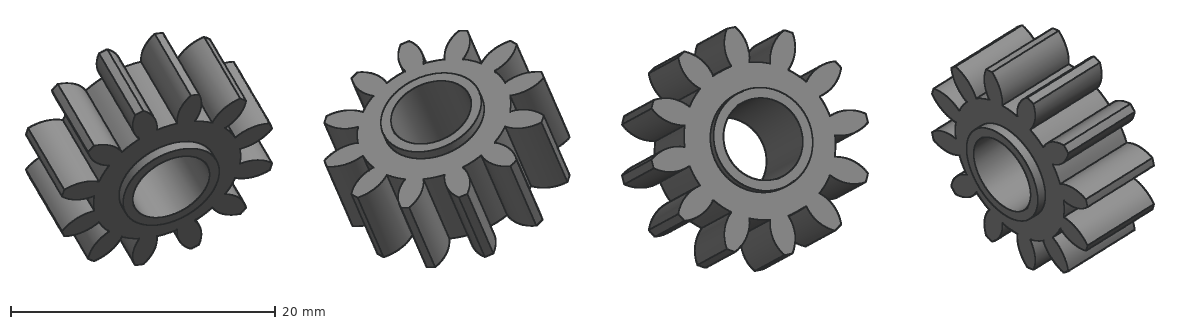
import cadquery as cq
import math

overall_length = 8.43
face_width = 6.87
hub_radius = 3.97
bore_radius = 3.17
root_radius = 6.07
tooth_count = 12
tooth_pitch = 360 / tooth_count

half_span = 8.67
tip_half_angle = 2.25
root_half_angle = 7.1
bulge_distance = 7.42
bulge_half_width = 0.92

tip_radius = half_span / math.cos(math.radians(tooth_pitch / 2 - tip_half_angle))


def polar(radius, degrees):
    """Point at the given radius and angle from the tooth centre line."""
    angle = math.radians(degrees)
    return (radius * math.cos(angle), radius * math.sin(angle))


def cylinder(radius, length):
    """Cylinder on the X axis, centred on the origin."""
    return cq.Workplane("YZ").circle(radius).extrude(length / 2, both=True)


def make_tooth():
    """Tooth along +Y with bulging arc flanks; its base is buried in the root cylinder."""
    return (
        cq.Workplane("YZ")
        .moveTo(hub_radius, 0)
        .lineTo(*polar(root_radius, -root_half_angle))
        .threePointArc((bulge_distance, -bulge_half_width), polar(tip_radius, -tip_half_angle))
        .threePointArc((tip_radius, 0), polar(tip_radius, tip_half_angle))
        .threePointArc((bulge_distance, bulge_half_width), polar(root_radius, root_half_angle))
        .close()
        .extrude(face_width / 2, both=True)
    )


result = cylinder(root_radius, face_width).union(cylinder(hub_radius, overall_length))

tooth = make_tooth()
for index in range(tooth_count):
    tooth_angle = (index + 0.5) * tooth_pitch
    result = result.union(tooth.rotate((0, 0, 0), (1, 0, 0), tooth_angle))

result = result.cut(cylinder(bore_radius, overall_length))